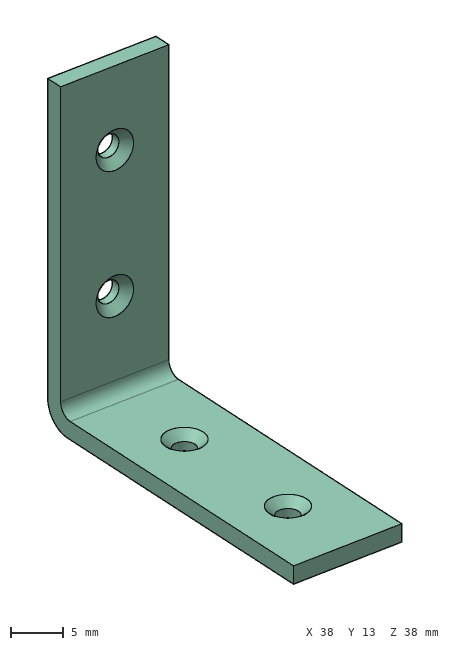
import cadquery as cq

leg_length = 38.0
width = 13.0
thickness = 2.0
outer_bend_radius = 3.0
inner_bend_radius = 1.5

first_hole = 12.75
hole_spacing = 16.0
hole_diameter = 2.5
countersink_diameter = 4.5
countersink_angle = 90.0


def bent_strip():
    """L-shaped strip with its outer corner at the origin and centred on Y."""
    profile = (
        cq.Workplane("XZ")
        .polyline([
            (0, 0),
            (leg_length, 0),
            (leg_length, thickness),
            (thickness, thickness),
            (thickness, leg_length),
            (0, leg_length),
        ])
        .close()
    )
    strip = profile.extrude(width / 2, both=True)
    outer_corner = cq.selectors.NearestToPointSelector((0, 0, 0))
    strip = strip.edges("|Y").edges(outer_corner).fillet(outer_bend_radius)
    inner_corner = cq.selectors.NearestToPointSelector((thickness, 0, thickness))
    return strip.edges("|Y").edges(inner_corner).fillet(inner_bend_radius)


def drill_leg(body, plane, centres):
    """Drill holes from the inside face of a leg, countersunk on that face."""
    return (
        cq.Workplane(plane)
        .add(body)
        .pushPoints(centres)
        .cskHole(hole_diameter, countersink_diameter, countersink_angle, depth=thickness)
    )


hole_distances = [first_hole + i * hole_spacing for i in range(2)]

flat_leg_plane = cq.Plane(origin=(0, 0, thickness), xDir=(1, 0, 0), normal=(0, 0, 1))
upright_leg_plane = cq.Plane(origin=(thickness, 0, 0), xDir=(0, 1, 0), normal=(1, 0, 0))

result = bent_strip()
result = drill_leg(result, flat_leg_plane, [(d, 0) for d in hole_distances])
result = drill_leg(result, upright_leg_plane, [(0, d) for d in hole_distances])